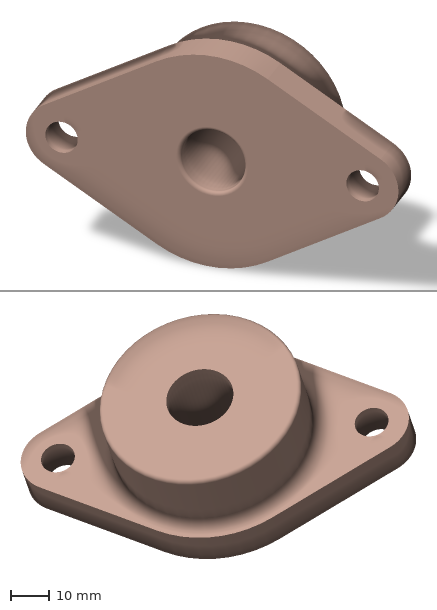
import cadquery as cq
import math

length = 104.0
end_radius = 10.0
center_radius = 31.0
flange_thickness = 10.0
bolt_hole_diameter = 9.0
bolt_offset = length / 2 - end_radius

total_depth = 30.0
boss_diameter = 54.0
boss_edge_radius = 1.0
root_width = 3.0

bore_diameter = 18.0
bore_edge_radius = 1.0


def back_plane(y):
    """XZ sketch plane at depth y, extruding toward +Y; its local Y axis is -Z."""
    return cq.Workplane(cq.Plane(origin=(0, y, 0), xDir=(1, 0, 0), normal=(0, 1, 0)))


def make_flange():
    """Plate bounded by a center circle and two end circles joined by tangents."""
    tilt = math.asin((center_radius - end_radius) / bolt_offset)
    center_x = center_radius * math.sin(tilt)
    center_z = center_radius * math.cos(tilt)
    end_x = bolt_offset + end_radius * math.sin(tilt)
    end_z = end_radius * math.cos(tilt)
    return (
        back_plane(0)
        .moveTo(-center_x, center_z)
        .threePointArc((0, center_radius), (center_x, center_z))
        .lineTo(end_x, end_z)
        .threePointArc((length / 2, 0), (end_x, -end_z))
        .lineTo(center_x, -center_z)
        .threePointArc((0, -center_radius), (-center_x, -center_z))
        .lineTo(-end_x, -end_z)
        .threePointArc((-length / 2, 0), (-end_x, end_z))
        .close()
        .extrude(flange_thickness)
        .pushPoints([(-bolt_offset, 0), (bolt_offset, 0)])
        .circle(bolt_hole_diameter / 2)
        .cutThruAll()
    )


def make_boss():
    """Spigot with a rounded back rim."""
    boss_length = total_depth - flange_thickness
    boss = back_plane(flange_thickness).circle(boss_diameter / 2).extrude(boss_length)
    return boss.faces(">Y").fillet(boss_edge_radius)


def make_root_fillet():
    """Concave ring blending the spigot into the flange."""
    inner = boss_diameter / 2
    outer = inner + root_width
    top = flange_thickness + root_width
    mid_offset = root_width * math.sqrt(0.5)
    return (
        cq.Workplane("XY")
        .moveTo(inner, flange_thickness)
        .lineTo(outer, flange_thickness)
        .threePointArc((outer - mid_offset, top - mid_offset), (inner, top))
        .close()
        .revolve(360, (0, 0, 0), (0, 1, 0))
    )


bore = back_plane(0).circle(bore_diameter / 2).extrude(total_depth)
result = make_flange().union(make_boss()).union(make_root_fillet()).cut(bore)

bore_mouth = cq.selectors.NearestToPointSelector((0, 0, 0))
result = result.faces("<Y").edges(bore_mouth).fillet(bore_edge_radius)